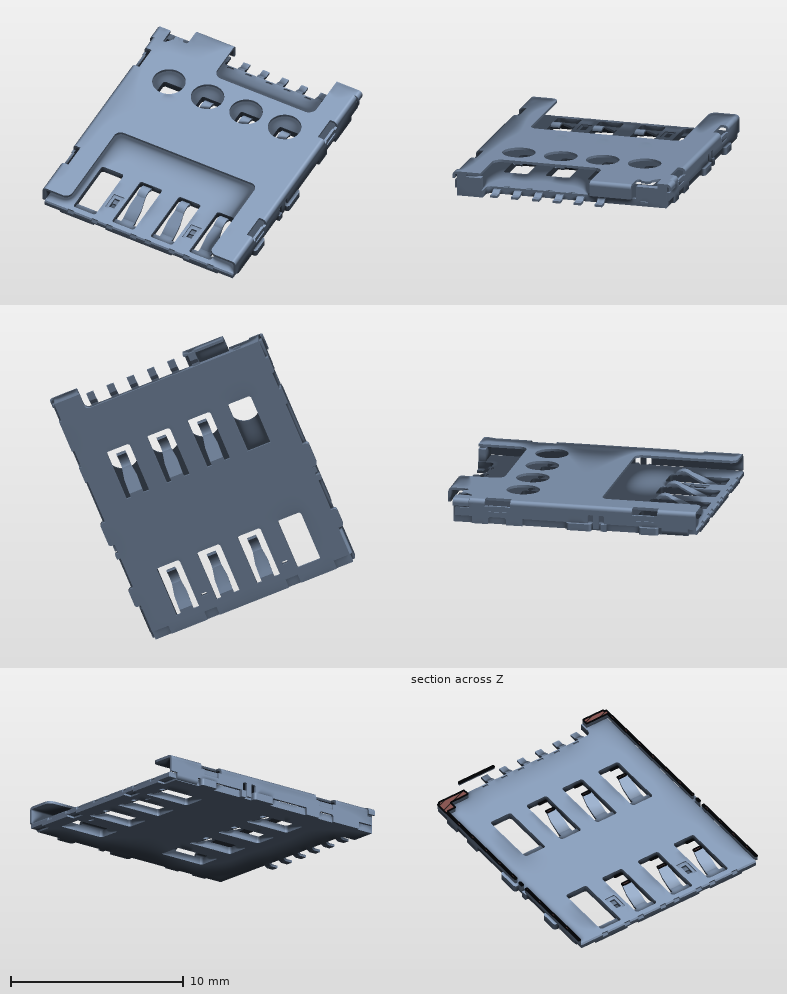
import cadquery as cq


length = 15.45
height = 1.45
overall_width = 13.05
tab_half_width = overall_width / 2

shell_width = 12.68
shell_half_width = shell_width / 2
sheet = 0.15
inner_half_width = shell_half_width - sheet
sheet_bottom = height - sheet
bend_radius = 0.25
shell_front = 0.06
shell_left_rear = 14.46
flap_left, flap_right = -4.26, -1.76
flap_rear = 15.22
flap_bottom = 0.59
arm_left = 4.77
rear_cutout_front = 12.48
rear_cutout_radius = 0.51
relief_width = 0.32
relief_depth = 0.48
relief_radius = 0.15
opening_left = -5.61
opening_front = 13.52
opening_tip_width = 0.12
opening_right = -5.13
opening_slope_rear = 13.94
opening_step = 14.21
front_cutout_half_width = 4.6
front_cutout_rear = 6.05
front_cutout_radius = 0.42
lip_offset = 0.12
lip_bottom = 1.04
left_lip_front = 13.52
right_lip_front = 14.97
wall_rear_setback = 0.12
lip_wall_top = 0.91

wall_bottom = 0.43
fold_front, fold_rear = 0.53, 2.07
fold_height = 0.3
fold_bend_radius = 0.28
skirt_front = 10.35
notch_front, notch_rear = 11.32, 12.39
notch_chamfer = 0.1
skirt_setback = 1.11
leg_y = 5.98
leg_width = 0.32
leg_bottom = 0.12
leg_slot_width = 0.32
leg_slot_top = 0.93
leg_slot_radius = 0.11
bend_window_centres = (3.09, 11.83)
bend_window_length = 1.51
bend_window_bottom = 1.07
bend_window_inner = 5.87
dimple_length = 1.07
dimple_height = 0.32
dimple_depth = 0.06

base_top = 0.42
base_rear = 14.46
ear_left = 4.64
ear_radius = 0.31
post_depth = 0.43
post_top = 1.16
right_post_left = 4.73
left_post_right = -4.35
post_corner_half_width = 5.65
tab_spans = ((2.25, 3.41), (6.24, 7.71))
tab_radius = 0.15
stud_y = 5.52
stud_length = 0.34
stud_half_width = 6.41

contact_pitch = 2.53
columns = [(i - 1.5) * contact_pitch for i in range(4)]
row_pitch = 7.62
rows = (0, row_pitch)
window_front, window_rear = 0.4, 3.99
window_width = 1.45
window_radius = 0.15
ledge_rear = 0.93
ledge_thickness = 0.14
arm_shift = 0.023
arm_root_width = 0.79
arm_tip_width = 0.55
arm_taper_start, arm_taper_end = 1.95, 2.6
arm_bend = 1.16
arm_tip = 3.48
arm_rise = 0.79
arm_top = 0.96
arm_thickness = 0.12
hole_radius = 0.97
hole_y = 10.86

foot_pitch = contact_pitch / 2
foot_count = 6
foot_first = -2.32
foot_width = 0.43
foot_rear = 15.33
foot_thickness = 0.14
foot_flat_front = 14.92
foot_slope_front = 14.68
foot_root_z = 0.3
switch_foot_x = -4.87
switch_foot_rear = 14.57

pocket_y = 1.82
pocket_length, pocket_width, pocket_depth = 1.13, 0.68, 0.06
pocket_hole_front, pocket_hole_rear = 1.42, 2.15
pocket_hole_width = 0.34
pocket_steps = ((1.59, 1.84, 0.14), (1.84, 2.15, 0.23))

nick_half_spacing = 0.79
nick_shift = 0.102
nick_width, nick_depth = 0.39, 0.11
nick_back_height, nick_front_height = 0.08, 0.22
front_chamfer = 0.08

rear_slot_first = 0.95
rear_slot_offset = -1.36
rear_slot_y = 14.32
rear_slot_width, rear_slot_length, rear_slot_depth = 0.4, 0.12, 0.08

undercuts = ((2.16, 2.94), (5.18, inner_half_width))
undercut_height = 0.11


def box(x0, x1, y0, y1, z0, z1):
    """Axis-aligned block between the given limits."""
    return cq.Workplane("XY").box(x1 - x0, y1 - y0, z1 - z0, centered=False).translate((x0, y0, z0))


def side_box(side, x0, x1, y0, y1, z0, z1):
    """Block on the left (side = -1) or right (side = 1) of the part."""
    return box(min(side * x0, side * x1), max(side * x0, side * x1), y0, y1, z0, z1)


def channel(half_width, y0, y1):
    """Sheet folded down along both sides, with rounded bends."""
    outer = box(-half_width, half_width, y0, y1, 0, height).edges("|Y and >Z").fillet(bend_radius)
    inner_half = half_width - sheet
    inner = box(-inner_half, inner_half, y0, y1, 0, sheet_bottom)
    return outer.cut(inner.edges("|Y and >Z").fillet(bend_radius - sheet))


def wall_cuts(side, rear, lip_front):
    """Everything removed from one side wall, given the front and rear of its lip."""
    inside, outside = inner_half_width - 0.15, shell_half_width + 0.15

    def gap(y0, y1, z0, z1):
        return side_box(side, inside, outside, y0, y1, z0, z1)

    leg_front = leg_y - leg_width / 2
    leg_rear = leg_y + leg_width / 2
    slot_front = leg_front - leg_slot_width
    slot_rear = leg_rear + leg_slot_width
    wall_rear = rear - wall_rear_setback

    cuts = gap(0, fold_front, 0, wall_bottom)
    cuts = cuts.union(gap(fold_front, fold_rear, 0, fold_height))
    cuts = cuts.union(gap(fold_rear, slot_front, 0, wall_bottom))
    leg_window = gap(slot_front, slot_rear, 0, leg_slot_top).edges("|X and >Z").fillet(leg_slot_radius)
    cuts = cuts.union(leg_window.cut(gap(leg_front, leg_rear, leg_bottom, height)))
    cuts = cuts.union(gap(slot_rear, skirt_front, 0, wall_bottom))
    cuts = cuts.union(gap(notch_front, notch_rear, 0, wall_bottom).edges("|X and >Z").chamfer(notch_chamfer))
    cuts = cuts.union(gap(rear - skirt_setback, length, 0, wall_bottom))
    cuts = cuts.union(gap(wall_rear, length, 0, height))
    cuts = cuts.union(gap(lip_front, length, lip_wall_top, height))
    for y in bend_window_centres:
        y0, y1 = y - bend_window_length / 2, y + bend_window_length / 2
        cuts = cuts.union(side_box(side, bend_window_inner, outside, y0, y1, bend_window_bottom, height))
    return cuts


def dimple(side, y, x_outer):
    """Small rectangular stamping just under a bend window."""
    return side_box(side, x_outer - dimple_depth, x_outer, y - dimple_length / 2, y + dimple_length / 2,
                    bend_window_bottom - dimple_height, bend_window_bottom)


def lip(side, y0, y1):
    """Rear end of a bend, set outwards from the wall."""
    outer_half = shell_half_width + lip_offset
    keep = side_box(side, post_corner_half_width, outer_half, y0, y1, lip_bottom, height)
    return channel(outer_half, y0, y1).intersect(keep)


def make_shell():
    shell = channel(shell_half_width, shell_front, length)

    outside = shell_half_width + 0.15
    shell = shell.cut(box(-outside, flap_left, shell_left_rear, length, 0, height))
    shell = shell.cut(box(flap_left, flap_right, flap_rear, length, 0, height))
    rear_cutout = box(flap_right, arm_left, rear_cutout_front, length, 0, height)
    shell = shell.cut(rear_cutout.edges("|Z and <Y").fillet(rear_cutout_radius))
    relief = box(flap_left - relief_width, flap_left, shell_left_rear - relief_depth, length, 0, height)
    shell = shell.cut(relief.edges("|Z and <Y").fillet(relief_radius))

    opening = cq.Workplane("XY").polyline([
        (opening_left, shell_left_rear), (opening_left, opening_front),
        (opening_left + opening_tip_width, opening_front), (opening_right, opening_slope_rear),
        (opening_right, opening_step), (flap_left - relief_width, opening_step),
        (flap_left - relief_width, shell_left_rear),
    ]).close().extrude(height)
    shell = shell.cut(opening)

    flap_space = box(flap_left, flap_right, flap_rear - 2 * sheet, flap_rear, flap_bottom, height)
    flap = flap_space.edges("|X and >Z and >Y").fillet(bend_radius)
    flap_hollow = box(flap_left, flap_right, 0, flap_rear - sheet, flap_bottom, sheet_bottom)
    shell = shell.cut(flap_space).union(flap.cut(flap_hollow))

    w, r = front_cutout_half_width, front_cutout_radius
    entry = (
        cq.Workplane("XY").moveTo(-w - r, shell_front).radiusArc((-w, shell_front + r), -r)
        .lineTo(-w, front_cutout_rear - r).radiusArc((-w + r, front_cutout_rear), r)
        .lineTo(w - r, front_cutout_rear).radiusArc((w, front_cutout_rear - r), r)
        .lineTo(w, shell_front + r).radiusArc((w + r, shell_front), -r)
        .close().extrude(height)
    )
    shell = shell.cut(entry)

    for x in columns:
        shell = shell.cut(cq.Workplane("XY").center(x, hole_y).circle(hole_radius).extrude(height))

    for side, rear, lip_front in ((-1, shell_left_rear, left_lip_front), (1, length, right_lip_front)):
        shell = shell.cut(wall_cuts(side, rear, lip_front))
        for y in bend_window_centres:
            shell = shell.cut(dimple(side, y, shell_half_width))
            shell = shell.union(dimple(side, y, inner_half_width))
        shell = shell.union(lip(side, lip_front, rear))
    return shell


def post(x0, x1, rear):
    """Upright wall at the rear of the base, as deep as post_depth."""
    return box(x0, x1, rear - post_depth, rear, 0, post_top)


def corner_post(side, rear):
    """Taller end of a rear post, reaching the cover."""
    return side_box(side, post_corner_half_width, inner_half_width, rear - post_depth, rear, 0, sheet_bottom)


def make_base():
    base = box(-inner_half_width, inner_half_width, 0, base_rear, 0, base_top)
    base = base.edges("|X and <Y and >Z").chamfer(front_chamfer)
    base = base.union(box(ear_left, inner_half_width, base_rear, length, 0, base_top))
    ear_fillet = box(ear_left - ear_radius, ear_left, base_rear, base_rear + ear_radius, 0, base_top)
    ear_round = (
        cq.Workplane("XY").center(ear_left - ear_radius, base_rear + ear_radius)
        .circle(ear_radius).extrude(base_top)
    )
    base = base.union(ear_fillet.cut(ear_round))

    base = base.union(post(-inner_half_width, left_post_right, base_rear)).union(corner_post(-1, base_rear))
    base = base.union(box(-inner_half_width, opening_left, opening_front, base_rear, 0, post_top))
    base = base.union(post(right_post_left, inner_half_width, length)).union(corner_post(1, length))

    for side in (-1, 1):
        for front, rear in tab_spans:
            tab = side_box(side, bend_window_inner, tab_half_width, front, rear, 0, base_top)
            base = base.union(tab.edges("|Z").fillet(tab_radius))
        base = base.union(side_box(side, bend_window_inner, stud_half_width, stud_y - stud_length / 2,
                                   stud_y + stud_length / 2, 0, base_top))
        fold = side_box(side, bend_window_inner, shell_half_width, fold_front, fold_rear, 0, fold_height)
        outer_edge = "|Y and <Z and " + (">X" if side > 0 else "<X")
        base = base.union(fold.edges(outer_edge).fillet(fold_bend_radius))

    for x in columns:
        x0, x1 = x - window_width / 2, x + window_width / 2
        for y in rows:
            window = box(x0, x1, window_front + y, window_rear + y, 0, base_top)
            base = base.cut(window.edges("|Z").fillet(window_radius))
            base = base.union(box(x0, x1, window_front + y, ledge_rear + y, 0, ledge_thickness))

    for x in (-contact_pitch, contact_pitch):
        w, h = pocket_width / 2, pocket_hole_width / 2
        base = base.cut(box(x - w, x + w, pocket_y - pocket_length / 2, pocket_y + pocket_length / 2,
                            base_top - pocket_depth, base_top))
        base = base.cut(box(x - h, x + h, pocket_hole_front, pocket_hole_rear, 0, base_top))
        for front, rear, top in pocket_steps:
            base = base.union(box(x - h, x + h, front, rear, 0, top))

    for x in columns:
        for offset in (-nick_half_spacing, nick_half_spacing):
            nick = (
                cq.Workplane("YZ")
                .polyline([
                    (0, base_top), (0, base_top - nick_front_height),
                    (nick_depth, base_top - nick_back_height), (nick_depth, base_top),
                ])
                .close().extrude(nick_width / 2, both=True)
            )
            base = base.cut(nick.translate((x + nick_shift + offset, 0, 0)))

    for i in (-1, 0, 1):
        for offset in (0, rear_slot_offset):
            slot = cq.Workplane("XY").box(rear_slot_width, rear_slot_length, 2 * rear_slot_depth)
            x = rear_slot_first + i * contact_pitch + offset
            base = base.cut(slot.translate((x, rear_slot_y, base_top)))

    for side in (-1, 1):
        for inner, outer in undercuts:
            base = base.cut(side_box(side, inner, outer, 0, fold_front, 0, undercut_height))
    return base


def spring_arm():
    """Sprung contact arm on X = 0, rising from the ledge and curling over at its tip."""
    t = arm_thickness
    crown = (arm_taper_end + arm_tip) / 2
    profile = (
        cq.Workplane("YZ").moveTo(ledge_rear, 0).lineTo(arm_bend, 0)
        .lineTo(arm_taper_end, arm_rise - t)
        .threePointArc((crown, arm_top - t), (arm_tip - t, arm_rise - t))
        .lineTo(arm_tip, arm_rise)
        .threePointArc((crown, arm_top), (arm_taper_end, arm_rise))
        .lineTo(arm_bend, ledge_thickness).lineTo(ledge_rear, ledge_thickness)
        .close().extrude(arm_root_width / 2, both=True)
    )
    root, tip = arm_root_width / 2, arm_tip_width / 2
    outline = cq.Workplane("XY").polyline([
        (-root, ledge_rear), (-root, arm_taper_start), (-tip, arm_taper_end), (-tip, arm_tip),
        (tip, arm_tip), (tip, arm_taper_end), (root, arm_taper_start), (root, ledge_rear),
    ]).close().extrude(height)
    return profile.intersect(outline)


def solder_foot(x, rear):
    """Stepped contact foot leaving the rear of the base, cut off at the given rear position."""
    t = foot_thickness
    foot = (
        cq.Workplane("YZ").polyline([
            (base_rear, foot_root_z), (foot_slope_front, foot_root_z), (foot_flat_front, t),
            (foot_rear, t), (foot_rear, 0), (foot_flat_front - t / 2, 0),
            (foot_slope_front - t / 2, foot_root_z - t), (base_rear, foot_root_z - t),
        ]).close().extrude(foot_width / 2, both=True).translate((x, 0, 0))
    )
    return foot.intersect(box(x - foot_width, x + foot_width, base_rear, rear, 0, base_top))


result = make_shell().union(make_base())
arm = spring_arm()
for column in columns[1:]:
    for row in rows:
        result = result.union(arm.translate((column + arm_shift, row, 0)))
for i in range(foot_count):
    result = result.union(solder_foot(foot_first + i * foot_pitch, foot_rear))
result = result.union(solder_foot(switch_foot_x, switch_foot_rear))